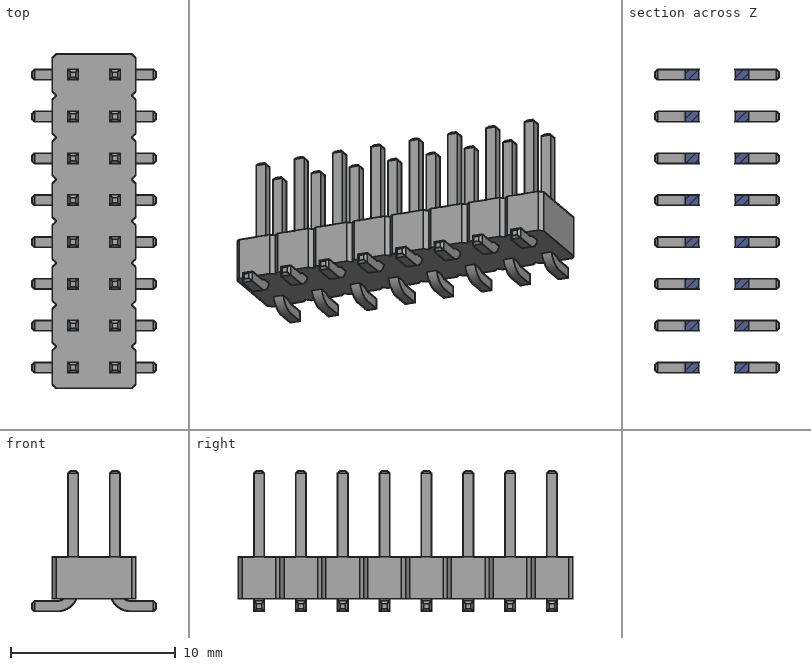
import cadquery as cq

pitch = 2.54
rows = 8
columns = 2

body_width = columns * pitch
body_height = 2.54
notch_depth = 0.25

overall_width = 7.54
overall_height = 8.54
pin_size = 0.64
tip_taper = pin_size / 4
body_standoff = 0.77
bend_inner_radius = pin_size
bend_outer_radius = bend_inner_radius + pin_size
pin_center_x = pitch / 2


def row_position(row):
    return (row - (rows - 1) / 2) * pitch


def make_body():
    """One chamfered block per row, joined end to end so the chamfers form V notches."""
    body = cq.Workplane("XY")
    for row in range(rows):
        block = (
            cq.Workplane("XY", origin=(0, row_position(row), body_standoff))
            .rect(body_width, pitch)
            .extrude(body_height)
            .edges("|Z")
            .chamfer(notch_depth)
        )
        body = body.union(block)
    return body


def make_pin():
    """Pin on the +X side at Y = 0: upright post, quarter bend and outward foot."""
    inner_face = pin_center_x - pin_size / 2
    outer_face = pin_center_x + pin_size / 2
    bend_center_x = inner_face + bend_outer_radius
    bend_center_z = bend_outer_radius
    foot_end = overall_width / 2
    pin = (
        cq.Workplane("XZ")
        .moveTo(inner_face, overall_height)
        .lineTo(inner_face, bend_center_z)
        .radiusArc((bend_center_x, 0), -bend_outer_radius)
        .lineTo(foot_end, 0)
        .lineTo(foot_end, pin_size)
        .lineTo(bend_center_x, pin_size)
        .radiusArc((outer_face, bend_center_z), bend_inner_radius)
        .lineTo(outer_face, overall_height)
        .close()
        .extrude(pin_size / 2, both=True)
    )
    pin = pin.faces(">Z").chamfer(tip_taper)
    return pin.faces(">X").chamfer(tip_taper)


result = make_body()
right_pin = make_pin()
left_pin = right_pin.mirror("YZ")
for row in range(rows):
    offset = (0, row_position(row), 0)
    result = result.union(right_pin.translate(offset)).union(left_pin.translate(offset))